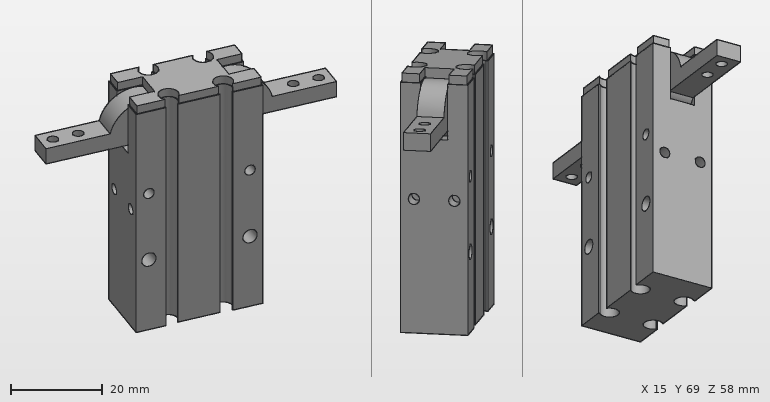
import cadquery as cq
import math

HOUSING_X = 15.0
HOUSING_Y = 30.1
TOTAL_HEIGHT = 58.0
CAP_HEIGHT = 2.0
CAP_INSET = 0.3
WAIST_INSET = 0.3
HOUSING_TOP = TOTAL_HEIGHT - CAP_HEIGHT

GROOVE_X = 5.5
GROOVE_Y = 6.5
GROOVE_DIAMETER = 4.3
GROOVE_NECK_WIDTH = 2.9
CAP_GROOVE_DIAMETER = 4.55

FINGER_WIDTH = 6.0
CAP_SLOT_WIDTH = 6.5
SLOT_BACK_Y = 8.8

CROSS_HOLE_Y = 12.0
SMALL_HOLE_DIAMETER = 2.5
SMALL_CROSS_HOLE_Z = 35.0
LARGE_CROSS_HOLE_DIAMETER = 3.4
LARGE_CROSS_HOLE_Z = 18.0

END_HOLE_X = 4.5
END_HOLE_Z = 30.0
END_HOLE_DEPTH = 4.15

FINGER_TIP_Y = 34.5
ARM_BOTTOM_Z = 45.6
ARM_THICKNESS = 3.9
ARM_TOP_Z = ARM_BOTTOM_Z + ARM_THICKNESS
KNUCKLE_Y = 11.05
KNUCKLE_Z = ARM_BOTTOM_Z + ARM_THICKNESS / 2
DOME_RADIUS = HOUSING_TOP - KNUCKLE_Z
HEEL_RADIUS = 4.0
SLOT_FLOOR_Z = KNUCKLE_Z - HEEL_RADIUS
TIP_TO_FIRST_HOLE = 3.0
FINGER_HOLE_PITCH = 6.0

SIDES = (-1, 1)


def x_cylinder(diameter, y, z):
    """Cylinder along X that spans the whole housing width."""
    return (
        cq.Workplane("YZ")
        .center(y, z)
        .circle(diameter / 2)
        .extrude(HOUSING_X / 2, both=True)
    )


def vertical_groove(x_side, y_side):
    """Keyhole groove of the block, plus its wider round in the cap."""
    x = x_side * GROOVE_X
    y = y_side * GROOVE_Y
    neck_length = HOUSING_X / 2 - GROOVE_X
    bore = cq.Workplane("XY").center(x, y).circle(GROOVE_DIAMETER / 2).extrude(HOUSING_TOP)
    neck = (
        cq.Workplane("XY")
        .center(x_side * (GROOVE_X + neck_length / 2), y)
        .rect(neck_length, GROOVE_NECK_WIDTH)
        .extrude(HOUSING_TOP)
    )
    cap_round = (
        cq.Workplane("XY", origin=(0, 0, HOUSING_TOP))
        .center(x, y)
        .circle(CAP_GROOVE_DIAMETER / 2)
        .extrude(CAP_HEIGHT)
    )
    return bore.union(neck).union(cap_round)


def finger_slot(y_side):
    """Slot for one finger, open at the end face and the top, wider in the cap."""
    depth = HOUSING_Y / 2 - SLOT_BACK_Y
    y = y_side * (SLOT_BACK_Y + depth / 2)
    block_slot = (
        cq.Workplane("XY", origin=(0, y, SLOT_FLOOR_Z))
        .rect(FINGER_WIDTH, depth)
        .extrude(HOUSING_TOP - SLOT_FLOOR_Z)
    )
    cap_slot = (
        cq.Workplane("XY", origin=(0, y, HOUSING_TOP))
        .rect(CAP_SLOT_WIDTH, depth)
        .extrude(CAP_HEIGHT)
    )
    return block_slot.union(cap_slot)


def end_holes(y_side):
    """Pair of blind holes in one end face."""
    inner_y = HOUSING_Y / 2 - END_HOLE_DEPTH
    return (
        cq.Workplane("XZ", origin=(0, y_side * inner_y, END_HOLE_Z))
        .pushPoints([(-END_HOLE_X, 0), (END_HOLE_X, 0)])
        .circle(SMALL_HOLE_DIAMETER / 2)
        .extrude(-y_side * END_HOLE_DEPTH)
    )


def waist_relief(x_side):
    """Shallow cut that sets back the side faces of block and cap between the two grooves."""

    def strip(depth, bottom_z, height):
        return (
            cq.Workplane("XY", origin=(x_side * (HOUSING_X - depth) / 2, 0, bottom_z))
            .rect(depth, 2 * GROOVE_Y)
            .extrude(height)
        )

    block_strip = strip(WAIST_INSET, 0, HOUSING_TOP)
    cap_strip = strip(WAIST_INSET + CAP_INSET, HOUSING_TOP, CAP_HEIGHT)
    return block_strip.union(cap_strip)


def make_housing():
    block = cq.Workplane("XY").rect(HOUSING_X, HOUSING_Y).extrude(HOUSING_TOP)
    cap = (
        cq.Workplane("XY", origin=(0, 0, HOUSING_TOP))
        .rect(HOUSING_X - 2 * CAP_INSET, HOUSING_Y - 2 * CAP_INSET)
        .extrude(CAP_HEIGHT)
    )
    body = block.union(cap)
    for x_side in SIDES:
        body = body.cut(waist_relief(x_side))
    for y_side in SIDES:
        for x_side in SIDES:
            body = body.cut(vertical_groove(x_side, y_side))
        body = body.cut(finger_slot(y_side))
        body = body.cut(end_holes(y_side))
        hole_y = y_side * CROSS_HOLE_Y
        body = body.cut(x_cylinder(SMALL_HOLE_DIAMETER, hole_y, SMALL_CROSS_HOLE_Z))
        body = body.cut(x_cylinder(LARGE_CROSS_HOLE_DIAMETER, hole_y, LARGE_CROSS_HOLE_Z))
    return body


def arc_leg(radius, offset):
    """Distance along one axis to a circle point that lies `offset` along the other axis."""
    return math.sqrt(radius**2 - offset**2)


def make_finger(y_side):
    """Finger that reaches out of the slot on one side of the housing."""
    dome_back = (SLOT_BACK_Y, KNUCKLE_Z + arc_leg(DOME_RADIUS, KNUCKLE_Y - SLOT_BACK_Y))
    dome_apex = (KNUCKLE_Y, KNUCKLE_Z + DOME_RADIUS)
    dome_end_y = KNUCKLE_Y + arc_leg(DOME_RADIUS, ARM_TOP_Z - KNUCKLE_Z)
    heel_back = (SLOT_BACK_Y, KNUCKLE_Z - arc_leg(HEEL_RADIUS, KNUCKLE_Y - SLOT_BACK_Y))
    heel_bottom = (KNUCKLE_Y, SLOT_FLOOR_Z)
    heel_end_y = KNUCKLE_Y + arc_leg(HEEL_RADIUS, KNUCKLE_Z - ARM_BOTTOM_Z)
    finger = (
        cq.Workplane("YZ")
        .moveTo(*heel_back)
        .threePointArc(heel_bottom, (heel_end_y, ARM_BOTTOM_Z))
        .lineTo(FINGER_TIP_Y, ARM_BOTTOM_Z)
        .lineTo(FINGER_TIP_Y, ARM_TOP_Z)
        .lineTo(dome_end_y, ARM_TOP_Z)
        .threePointArc(dome_apex, dome_back)
        .close()
        .extrude(FINGER_WIDTH / 2, both=True)
    )
    outer_hole_y = FINGER_TIP_Y - TIP_TO_FIRST_HOLE
    arm_holes = (
        cq.Workplane("XY", origin=(0, 0, ARM_BOTTOM_Z))
        .pushPoints([(0, outer_hole_y), (0, outer_hole_y - FINGER_HOLE_PITCH)])
        .circle(SMALL_HOLE_DIAMETER / 2)
        .extrude(ARM_THICKNESS)
    )
    finger = finger.cut(arm_holes)
    if y_side < 0:
        finger = finger.mirror("XZ")
    return finger


housing = make_housing()
fingers = [make_finger(y_side) for y_side in SIDES]

result = cq.Compound.makeCompound([housing.val(), *[finger.val() for finger in fingers]])